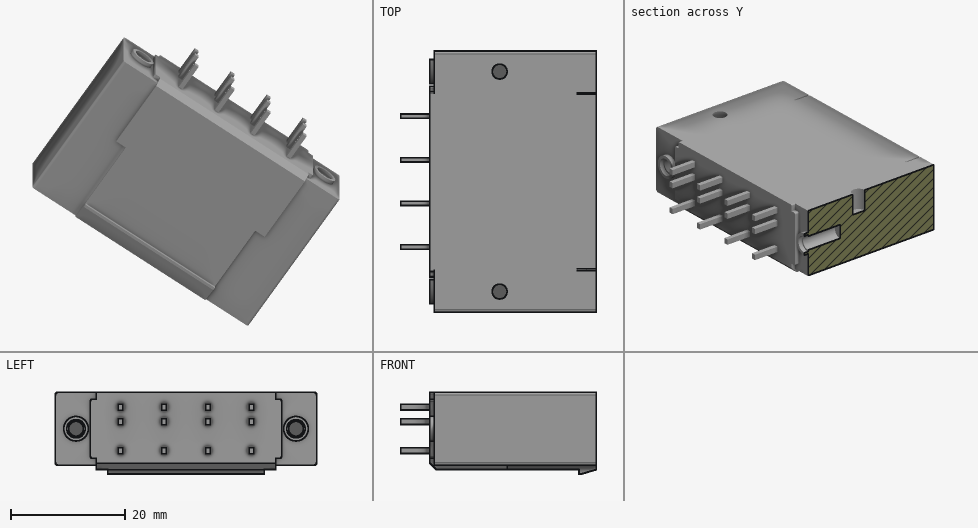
import cadquery as cq

OVERALL_LENGTH = 34.25
OVERALL_WIDTH = 45.72
OVERALL_HEIGHT = 14.32

PIN_LENGTH = 5.08
PIN_WIDTH = 0.8
PIN_HEIGHT = 1.05
PIN_PITCH_Y = 7.62
PIN_COLUMNS = 4
PIN_PITCH_Z = 2.54
TOP_PIN_ROW_DEPTH = 2.6
PIN_ROW_STEPS = (0, 1, 3)

REAR_X = OVERALL_LENGTH - PIN_LENGTH
HOUSING_FRONT_X = 0.8
HOUSING_HEIGHT = 12.8
HOUSING_EDGE_RADIUS = 0.5

BLOCK_WIDTH = 31.44
BLOCK_DROP = 0.75
BLOCK_LENGTH = 13.6
BLOCK_TOP_RADIUS = 0.24
BLOCK_CHAMFER = 1.15

FLANGE_WIDTH = 33.4
FLANGE_TOP_DEPTH = 1.25
FLANGE_BOTTOM_DEPTH = 11.55
FLANGE_CORNER_RADIUS = 0.3

TONGUE_WIDTH = 27.4
TONGUE_ROOT_RADIUS = 0.45
HOOK_FRONT_X = 26.1
HOOK_FLAT = 0.5
HOOK_BOTTOM = HOUSING_HEIGHT - OVERALL_HEIGHT

EAR_HOLE_Y = 19.23
BUSHING_DIAMETER = 4.3
BUSHING_COUNTERBORE_DIAMETER = 3.2
BUSHING_COUNTERBORE_DEPTH = 0.8
BUSHING_BORE_DIAMETER = 2.6
BUSHING_BORE_DEPTH = 8.0

TOP_HOLE_X = 12.25
TOP_HOLE_DIAMETER = 2.6
TOP_HOLE_DEPTH = 4.0

NOTCH_RAMP_START_X = 25.8
NOTCH_FLOOR_START_X = 27.4
NOTCH_INNER_Y = 15.25
NOTCH_WIDTH = 0.3
NOTCH_DEPTH = 0.3

SIDES = (-1, 1)


def box_between(x_range, width, z_range):
    """Box centred on Y = 0 that spans the given X and Z ranges."""
    return cq.Workplane("XY").box(
        x_range[1] - x_range[0], width, z_range[1] - z_range[0], centered=(False, True, False)
    ).translate((x_range[0], 0, z_range[0]))


def extrude_across(side_profile, width, centre_y=0):
    """Extrude a closed X-Z outline along Y, centred on centre_y."""
    return (
        cq.Workplane("XZ", origin=(0, centre_y, 0))
        .polyline(side_profile)
        .close()
        .extrude(width / 2, both=True)
    )


def make_housing():
    housing = box_between((HOUSING_FRONT_X, REAR_X), OVERALL_WIDTH, (0, HOUSING_HEIGHT))
    return housing.edges("|X").fillet(HOUSING_EDGE_RADIUS)


def make_block():
    block = box_between((0, BLOCK_LENGTH), BLOCK_WIDTH, (-BLOCK_DROP, HOUSING_HEIGHT))
    block = block.edges("|X and >Z").fillet(BLOCK_TOP_RADIUS)
    return block.edges("<X and <Z").chamfer(BLOCK_CHAMFER)


def make_flange():
    z_range = (HOUSING_HEIGHT - FLANGE_BOTTOM_DEPTH, HOUSING_HEIGHT - FLANGE_TOP_DEPTH)
    flange = box_between((0, HOUSING_FRONT_X), FLANGE_WIDTH, z_range)
    return flange.edges("|X").fillet(FLANGE_CORNER_RADIUS)


def make_pins():
    pins = cq.Workplane("XY")
    for column in range(PIN_COLUMNS):
        y = (column - (PIN_COLUMNS - 1) / 2) * PIN_PITCH_Y
        for row_step in PIN_ROW_STEPS:
            z = HOUSING_HEIGHT - TOP_PIN_ROW_DEPTH - row_step * PIN_PITCH_Z
            pin = cq.Workplane("XY").box(
                PIN_LENGTH + HOUSING_FRONT_X, PIN_WIDTH, PIN_HEIGHT, centered=(False, True, True)
            )
            pins = pins.add(pin.translate((-PIN_LENGTH, y, z)))
    return pins.combine()


def make_tongue():
    """Latch tongue with concave root fillets where it meets the housing underside."""
    half_width = TONGUE_WIDTH / 2
    root_half_width = half_width + TONGUE_ROOT_RADIUS
    embed_z = HOUSING_EDGE_RADIUS
    tongue = (
        cq.Workplane("YZ", origin=(BLOCK_LENGTH, 0, 0))
        .moveTo(-half_width, -BLOCK_DROP)
        .lineTo(half_width, -BLOCK_DROP)
        .lineTo(half_width, -TONGUE_ROOT_RADIUS)
        .radiusArc((root_half_width, 0), TONGUE_ROOT_RADIUS)
        .lineTo(root_half_width, embed_z)
        .lineTo(-root_half_width, embed_z)
        .lineTo(-root_half_width, 0)
        .radiusArc((-half_width, -TONGUE_ROOT_RADIUS), TONGUE_ROOT_RADIUS)
        .close()
        .extrude(REAR_X - BLOCK_LENGTH)
    )
    hook_profile = [
        (HOOK_FRONT_X, 0),
        (HOOK_FRONT_X, HOOK_BOTTOM),
        (HOOK_FRONT_X + HOOK_FLAT, HOOK_BOTTOM),
        (REAR_X, -BLOCK_DROP),
        (REAR_X, 0),
    ]
    return tongue.union(extrude_across(hook_profile, TONGUE_WIDTH))


def front_cylinder(diameter, length, y):
    """Cylinder that runs from the connector face plane toward the rear."""
    plane = cq.Workplane("YZ", origin=(0, y, HOUSING_HEIGHT / 2))
    return plane.circle(diameter / 2).extrude(length)


def add_bushing(body, y):
    body = body.union(front_cylinder(BUSHING_DIAMETER, HOUSING_FRONT_X, y))
    body = body.cut(front_cylinder(BUSHING_COUNTERBORE_DIAMETER, BUSHING_COUNTERBORE_DEPTH, y))
    return body.cut(front_cylinder(BUSHING_BORE_DIAMETER, BUSHING_BORE_DEPTH, y))


def cut_top_hole(body, y):
    top_plane = cq.Workplane("XY", origin=(TOP_HOLE_X, y, HOUSING_HEIGHT))
    return body.cut(top_plane.circle(TOP_HOLE_DIAMETER / 2).extrude(-TOP_HOLE_DEPTH))


def cut_notch(body, side):
    floor_z = HOUSING_HEIGHT - NOTCH_DEPTH
    notch_profile = [
        (NOTCH_RAMP_START_X, HOUSING_HEIGHT),
        (NOTCH_FLOOR_START_X, floor_z),
        (REAR_X, floor_z),
        (REAR_X, HOUSING_HEIGHT),
    ]
    centre_y = side * (NOTCH_INNER_Y + NOTCH_WIDTH / 2)
    return body.cut(extrude_across(notch_profile, NOTCH_WIDTH, centre_y))


result = make_housing().union(make_block()).union(make_flange()).union(make_tongue())
result = result.union(make_pins())
for side in SIDES:
    result = add_bushing(result, side * EAR_HOLE_Y)
    result = cut_top_hole(result, side * EAR_HOLE_Y)
    result = cut_notch(result, side)